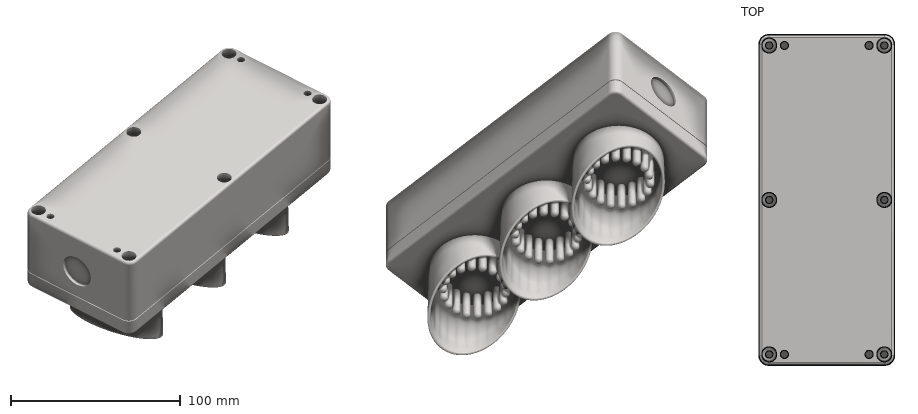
import cadquery as cq
import math

box_width = 80.0
box_length = 195.0
box_height = 55.4
corner_radius = 5.8
edge_radius = 1.8

seam_top = -44.3
seam_height = 0.8
seam_depth = 0.5

screw_x = 34.0
end_hole_y = 91.0
screw_bore_diameter = 8.8
screw_bore_depth = 11.7
screw_diameter = 4.3
mount_x = 25.0
mount_diameter = 4.7
mount_depth = 11.7

knockout_diameter = 20.7
knockout_z = -25.2
knockout_depth = 2.0

lamp_pitch = 60.0
neck_diameter = 42.3
neck_height = 1.2
hood_top_radius = 27.0
hood_bottom_radius = 27.9
hood_wall = 1.5
hood_floor = 2.3
hood_lowest = -105.7
hood_cut_high = -70.8
rim_radius = 0.5

led_count = 18
led_diameter = 4.9
led_radius = led_diameter / 2
led_circle_radius = neck_diameter / 2 - led_radius
led_tip = -78.4

box_bottom = -box_height
hood_top = box_bottom - neck_height


def make_enclosure():
    """Rounded box with a shallow groove around the base/cover seam."""
    box = (
        cq.Workplane("XY")
        .box(box_width, box_length, box_height, centered=(True, True, False))
        .translate((0, 0, box_bottom))
        .edges("|Z").fillet(corner_radius)
        .faces("<Z or >Z").edges().fillet(edge_radius)
    )
    seam = cq.Workplane("XY", origin=(0, 0, seam_top)).rect(box_width, box_length).extrude(-seam_height)
    core = (
        cq.Workplane("XY", origin=(0, 0, seam_top))
        .rect(box_width - 2 * seam_depth, box_length - 2 * seam_depth)
        .extrude(-seam_height)
        .edges("|Z").fillet(corner_radius - seam_depth)
    )
    return box.cut(seam.cut(core))


def drill_top(body):
    """Counterbored screw holes down to the seam, and blind mounting holes."""
    screw_points = [(x, y) for x in (-screw_x, screw_x) for y in (-end_hole_y, 0, end_hole_y)]
    mount_points = [(x, y) for x in (-mount_x, mount_x) for y in (-end_hole_y, end_hole_y)]
    top = cq.Workplane("XY")
    bores = top.pushPoints(screw_points).circle(screw_bore_diameter / 2).extrude(-screw_bore_depth)
    screws = top.pushPoints(screw_points).circle(screw_diameter / 2).extrude(seam_top)
    mounts = top.pushPoints(mount_points).circle(mount_diameter / 2).extrude(-mount_depth)
    return body.cut(bores).cut(screws).cut(mounts)


def recess_knockouts(body):
    """Shallow round recess, centred across each end wall."""
    for side in (-1, 1):
        recess = (
            cq.Workplane("XZ", origin=(0, side * box_length / 2, knockout_z))
            .circle(knockout_diameter / 2)
            .extrude(side * knockout_depth)
        )
        body = body.cut(recess)
    return body


def make_cone(top_radius, bottom_radius, top, bottom):
    """Upright cone frustum on the Z axis."""
    return (
        cq.Workplane("XY", origin=(0, 0, top))
        .circle(top_radius)
        .workplane(offset=bottom - top)
        .circle(bottom_radius)
        .loft(ruled=True)
    )


def make_hood():
    """Tapered tube, closed at the top and cut off at a slant that is lowest at +Y."""
    tube = make_cone(hood_top_radius, hood_bottom_radius, hood_top, hood_lowest)
    cavity = make_cone(
        hood_top_radius - hood_wall, hood_bottom_radius - hood_wall, hood_top, hood_lowest
    )
    floor_z = hood_top - hood_floor
    cavity = cavity.cut(
        cq.Workplane("XY", origin=(0, 0, floor_z)).circle(hood_bottom_radius).extrude(hood_floor)
    )
    reach = hood_bottom_radius
    slant = (
        cq.Workplane("YZ", origin=(-2 * reach, 0, 0))
        .polyline([(-reach, hood_cut_high), (reach, hood_lowest), (-reach, hood_lowest)])
        .close()
        .extrude(4 * reach)
    )
    hood = tube.cut(cavity).cut(slant)
    slant_angle = math.atan2(hood_cut_high - hood_lowest, 2 * reach)
    slant_normal = cq.Vector(0, -math.sin(slant_angle), -math.cos(slant_angle))
    rim = hood.faces(cq.selectors.ParallelDirSelector(slant_normal))
    return rim.edges().fillet(rim_radius)


def make_led():
    """Round-nosed pin from the hood floor down to the light tip."""
    nose_z = led_tip + led_radius
    pin = cq.Workplane("XY", origin=(0, 0, hood_top)).circle(led_radius).extrude(nose_z - hood_top)
    nose = cq.Workplane("XY", origin=(0, 0, nose_z)).sphere(led_radius)
    return pin.union(nose)


def make_lamp():
    """Neck, slanted hood and ring of light emitters, centred on the Z axis."""
    lamp = cq.Workplane("XY", origin=(0, 0, box_bottom)).circle(neck_diameter / 2).extrude(-neck_height)
    lamp = lamp.union(make_hood())
    led = make_led().translate((led_circle_radius, 0, 0))
    led_step = 360 / led_count
    for index in range(led_count):
        lamp = lamp.union(led.rotate((0, 0, 0), (0, 0, 1), index * led_step))
    return lamp


result = recess_knockouts(drill_top(make_enclosure()))
lamp = make_lamp()
for position in (-1, 0, 1):
    result = result.union(lamp.translate((0, position * lamp_pitch, 0)))